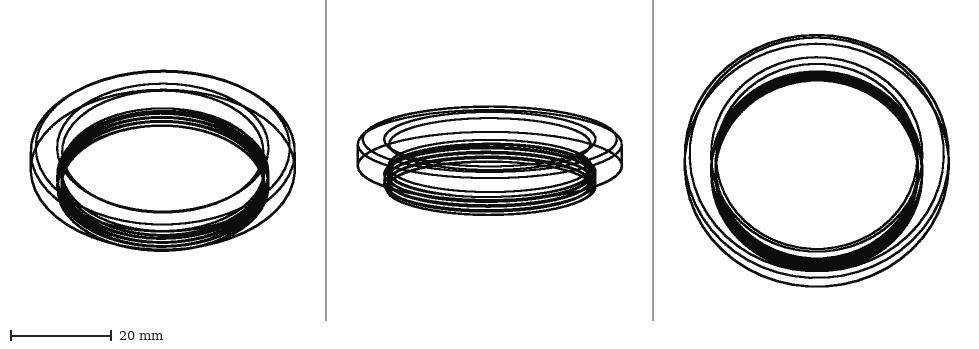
import cadquery as cq

total_height = 10.0
flange_diameter = 52.5
flange_thickness = 5.5
flange_chamfer = 1.0

recess_top_diameter = 42.0
recess_depth = 1.0
recess_floor_diameter = recess_top_diameter - 2 * recess_depth

thread_major_diameter = 42.0
thread_pitch = 1.0
spigot_diameter = 40.25
neck_height = 1.0
spigot_height = total_height - flange_thickness
thread_length = spigot_height - neck_height
thread_crest_height_at_x = 0.4
ridge_base_width = 0.97 * thread_pitch
ridge_embedding = 0.05
helix_overrun = 2 * thread_pitch


def make_flange():
    return (
        cq.Workplane("XY")
        .workplane(offset=spigot_height)
        .circle(flange_diameter / 2)
        .extrude(flange_thickness)
        .faces(">Z")
        .chamfer(flange_chamfer)
    )


def make_recess():
    return cq.Workplane(
        cq.Solid.makeCone(
            recess_floor_diameter / 2,
            recess_top_diameter / 2,
            recess_depth,
            pnt=cq.Vector(0, 0, total_height - recess_depth),
        )
    )


def make_spigot_core():
    return cq.Workplane("XY").circle(spigot_diameter / 2).extrude(spigot_height)


def make_thread():
    """Sharp V ridge swept along a helix and trimmed flat at both ends of the thread."""
    base_radius = spigot_diameter / 2 - ridge_embedding
    crest_radius = thread_major_diameter / 2
    half_base = ridge_base_width / 2

    start_height = thread_crest_height_at_x - helix_overrun
    helix_height = thread_length + 2 * helix_overrun
    helix = cq.Wire.makeHelix(
        thread_pitch, helix_height, base_radius, center=cq.Vector(0, 0, start_height)
    )
    ridge = (
        cq.Workplane("XZ")
        .moveTo(base_radius, start_height - half_base)
        .lineTo(crest_radius, start_height)
        .lineTo(base_radius, start_height + half_base)
        .close()
        .sweep(cq.Workplane(helix), isFrenet=True)
    )
    thread_envelope = cq.Workplane("XY").circle(flange_diameter / 2).extrude(thread_length)
    return ridge.intersect(thread_envelope)


body = make_flange().cut(make_recess()).union(make_spigot_core())
result = body.union(make_thread()).solids()